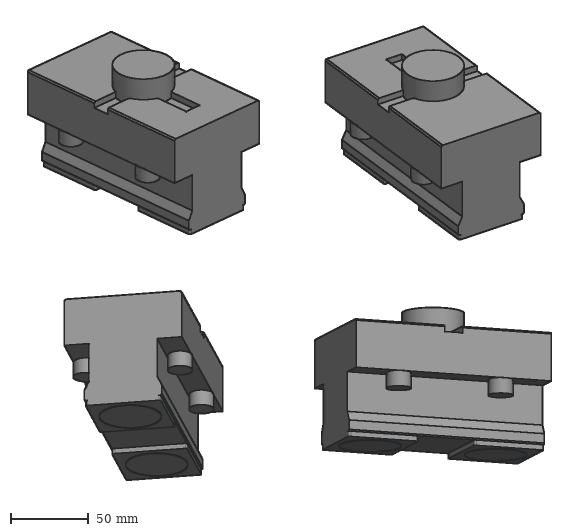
import cadquery as cq

length = 134.0
head_width = 77.2
head_bottom = 43.1
head_top = 75.0
head_chamfer = 1.1

neck_width = 44.8
foot_width = 51.0
foot_bottom = 3.9
foot_chamfer = 1.0
foot_shoulder = 11.0
flare_top = 17.2

disc_thickness = 0.4
disc_diameter = 40.0
pad_length = 47.7
pad_width = 49.3
pad_corner = 1.27

boss_diameter = 40.0
boss_top = 90.0
key_width = 12.2
key_depth = 4.4
side_key_end = 45.0

pin_diameter = 16.0
pin_length = 10.2
pin_x = 35.0
pin_span = 78.0
pin_y = (pin_span - pin_diameter) / 2


def make_head():
    """Rectangular head with its two long upper edges chamfered."""
    height = head_top - head_bottom
    head = cq.Workplane("XY").box(length, head_width, height, centered=(True, True, False))
    head = head.translate((0, 0, head_bottom))
    return head.edges(">Z and |X").chamfer(head_chamfer)


def make_stem():
    """Narrow stem widening to a foot, as one profile along X."""
    half_profile = [
        (0, foot_bottom),
        (foot_width / 2 - foot_chamfer, foot_bottom),
        (foot_width / 2, foot_bottom + foot_chamfer),
        (foot_width / 2, foot_shoulder),
        (neck_width / 2, flare_top),
        (neck_width / 2, head_bottom),
        (0, head_bottom),
    ]
    half = cq.Workplane("YZ").polyline(half_profile).close().extrude(length / 2, both=True)
    return half.union(half.mirror("XZ"))


def make_pad(center_x):
    """Pad with rounded vertical corners and a thin disc on its underside."""
    pad = (
        cq.Workplane("XY", origin=(center_x, 0, disc_thickness))
        .rect(pad_length, pad_width)
        .extrude(foot_bottom - disc_thickness)
        .edges("|Z")
        .fillet(pad_corner)
    )
    disc = cq.Workplane("XY").center(center_x, 0).circle(disc_diameter / 2).extrude(foot_bottom)
    return pad.union(disc)


def cut_keyways(body):
    """Cut a full cross slot along Y and a blind slot towards +X."""
    floor = cq.Workplane("XY", origin=(0, 0, head_top - key_depth))
    cross_slot = floor.rect(key_width, head_width).extrude(key_depth)
    side_slot = floor.center(side_key_end / 2, 0).rect(side_key_end, key_width).extrude(key_depth)
    return body.cut(cross_slot).cut(side_slot)


def make_boss():
    """Round boss standing on the keyway floor."""
    floor_height = head_top - key_depth
    boss = cq.Workplane("XY", origin=(0, 0, floor_height))
    return boss.circle(boss_diameter / 2).extrude(boss_top - floor_height)


def make_pins():
    """Four round pins hanging below the overhanging head."""
    return (
        cq.Workplane("XY", origin=(0, 0, head_bottom - pin_length))
        .rect(2 * pin_x, 2 * pin_y, forConstruction=True)
        .vertices()
        .circle(pin_diameter / 2)
        .extrude(pin_length)
    )


pad_x = (length - pad_length) / 2

result = cut_keyways(make_head().union(make_stem()))
result = result.union(make_boss()).union(make_pins())
for side in (-1, 1):
    result = result.union(make_pad(side * pad_x))